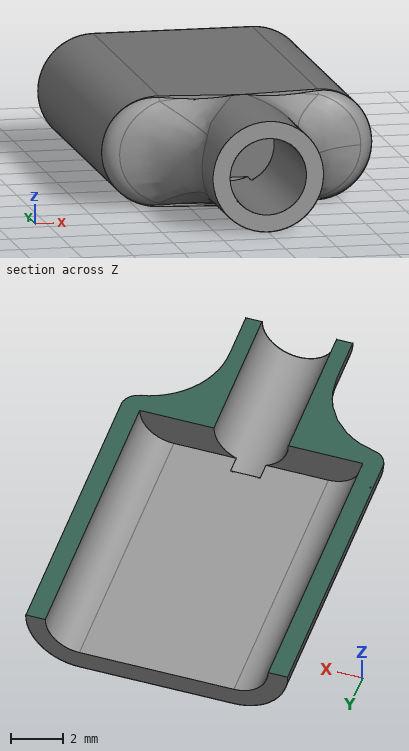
import cadquery as cq

width = 10.6
height = 4.35
length = 17.6
neck_length = 5.15
bore_diameter = 3.0
wall = 0.8
rim_radius = 0.7
blend_radius = 3.2
root_clearance = 0.005

neck_radius = height / 2 - root_clearance
shoulder = neck_length + rim_radius
tolerance = 0.001


def bar(start, end, outline_width, outline_height):
    """Round-ended bar along Y between two Y positions."""
    section = cq.Workplane("XZ", origin=(0, end, 0)).slot2D(outline_width, outline_height)
    return section.extrude(end - start)


def rod(end, radius):
    """Round rod along the Y axis from the neck tip to a Y position."""
    return cq.Workplane("XZ", origin=(0, end, 0)).circle(radius).extrude(end)


def is_neck_root(edge):
    """True for the circle where the neck meets the front face of the body."""
    on_front = abs(edge.Center().y - neck_length) < tolerance
    return edge.geomType() == "CIRCLE" and on_front and abs(edge.radius() - neck_radius) < tolerance


def blended_outside():
    """Body with a rounded front rim, flaring concavely into the round neck."""
    body = bar(neck_length, length, width, height).faces("<Y").edges().fillet(rim_radius)
    joined = body.union(rod(shoulder, neck_radius))
    roots = [edge for edge in joined.edges().vals() if is_neck_root(edge)]
    return joined.newObject([joined.val().fillet(blend_radius, roots)])


def tapered_front():
    """Wedge that brings the flat faces to a shallow point above and below the neck root."""
    outline = cq.Workplane("XY", origin=(0, 0, -height / 2)).polyline(
        [(0, neck_length), (width / 2, shoulder), (-width / 2, shoulder)]
    )
    wedge = outline.close().extrude(height)
    return wedge.intersect(bar(neck_length, length, width, height))


def cavity():
    """Round-ended pocket, open at the back, that leaves an even wall."""
    return bar(neck_length + wall, length, width - 2 * wall, height - 2 * wall)


outside = blended_outside().union(tapered_front())
bore = rod(shoulder + wall, bore_diameter / 2)
result = outside.cut(cavity()).cut(bore)